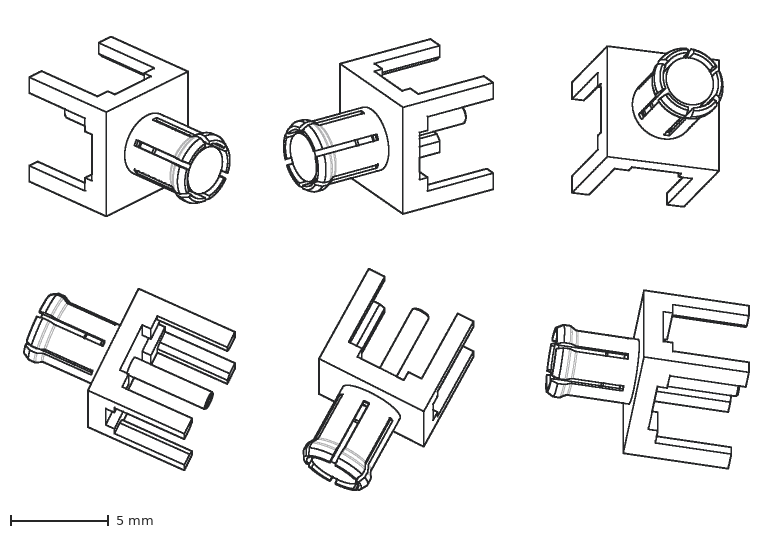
import cadquery as cq

body_side = 6.05
half_side = body_side / 2
body_front_x = 4.44
body_back_x = 5.45
pad_face_x = 3.95
pad_side = 1.69
leg_side = 0.92
leg_chamfer = 0.29

pin_radius = 0.485
pin_chamfer = 0.08

collar_end_x = 9.7
collar_radius = 1.67
collar_bore_radius = 1.49
bore_floor_x = 6.14
bulge_radius = 1.86
cone_start_x = 8.68
bulge_start_x = 9.01
bulge_end_x = 9.36
cone_blend_radius = 0.17

slot_start_x = 5.985
slot_width = 0.3
slot_count = 6
first_slot_angle = 30.0

insulator_radius = 1.37
insulator_step = 0.09
insulator_step_x = 7.0
insulator_end_x = 9.54


def cylinder_along_x(radius, start_x, end_x):
    return cq.Workplane("YZ").workplane(offset=start_x).circle(radius).extrude(end_x - start_x)


def revolve_about_x(outline):
    """Turn a closed (x, radius) outline around the X axis."""
    return cq.Workplane("XY").polyline(outline).close().revolve(360, (0, 0, 0), (1, 0, 0))


def square_prism(centre_y, centre_z, side, start_x, end_x):
    plane = cq.Workplane("YZ").workplane(offset=start_x).center(centre_y, centre_z)
    return plane.rect(side, side).extrude(end_x - start_x)


def corner_post(y_sign, z_sign):
    """Pad and leg flush with one corner of the body; the leg edge nearest the axis is chamfered."""
    pad_centre = half_side - pad_side / 2
    pad = square_prism(y_sign * pad_centre, z_sign * pad_centre, pad_side, pad_face_x, body_front_x)
    leg_centre = half_side - leg_side / 2
    leg = square_prism(y_sign * leg_centre, z_sign * leg_centre, leg_side, 0, pad_face_x)
    toward_axis = cq.Vector(0, -y_sign, -z_sign)
    leg = leg.edges(cq.selectors.DirectionMinMaxSelector(toward_axis)).chamfer(leg_chamfer)
    return pad.union(leg)


def body():
    block = square_prism(0, 0, body_side, body_front_x, body_back_x)
    for y_sign in (-1, 1):
        for z_sign in (-1, 1):
            block = block.union(corner_post(y_sign, z_sign))
    return block


def pin():
    return cylinder_along_x(pin_radius, 0, body_front_x).faces("<X").chamfer(pin_chamfer)


def collar_blank():
    """Solid collar shape, with the rising cone blended into the barrel and the bulge."""
    blank = revolve_about_x([
        (body_back_x, 0),
        (body_back_x, collar_radius),
        (cone_start_x, collar_radius),
        (bulge_start_x, bulge_radius),
        (bulge_end_x, bulge_radius),
        (collar_end_x, collar_radius),
        (collar_end_x, 0),
    ])
    cone_edges = blank.edges(cq.selectors.BoxSelector(
        (cone_start_x - cone_blend_radius, -bulge_radius, -bulge_radius),
        (bulge_start_x + cone_blend_radius, bulge_radius, bulge_radius),
    )).edges("%CIRCLE")
    return cone_edges.fillet(cone_blend_radius)


def slots():
    """Slots through the collar wall, open at the rim and floored at the bore radius."""
    length = collar_end_x - slot_start_x
    blade = cq.Workplane("XY").box(length, bulge_radius, slot_width, centered=(False, False, True))
    blade = blade.translate((slot_start_x, 0, 0))
    core = cylinder_along_x(collar_bore_radius, slot_start_x, collar_end_x)
    cutter = cq.Workplane("XY")
    for index in range(slot_count):
        angle = first_slot_angle + index * 360 / slot_count
        cutter = cutter.add(blade.rotate((0, 0, 0), (1, 0, 0), angle))
    return cutter.combine().cut(core)


def collar():
    bore = cylinder_along_x(collar_bore_radius, bore_floor_x, collar_end_x)
    return collar_blank().cut(slots()).cut(bore)


def insulator():
    front_radius = insulator_radius - insulator_step
    return revolve_about_x([
        (bore_floor_x, 0),
        (bore_floor_x, insulator_radius),
        (insulator_step_x, insulator_radius),
        (insulator_step_x + insulator_step, front_radius),
        (insulator_end_x, front_radius),
        (insulator_end_x, 0),
    ])


result = body().union(pin()).union(collar()).union(insulator())